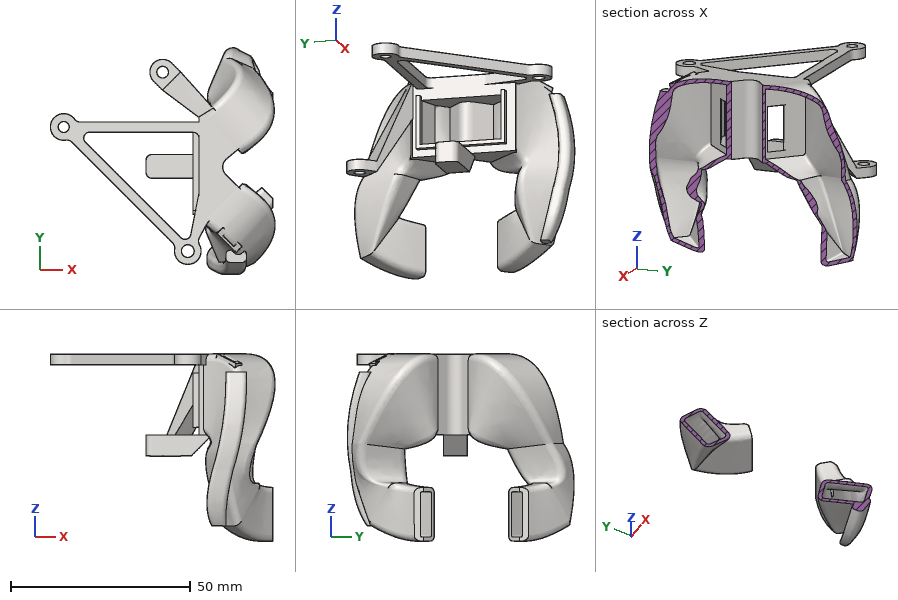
import cadquery as cq
import math


PLATE_T = 3.0
EAR_R = 3.75
EAR_BLEND_R = 2.0
REAR_EAR = (-37.75, 11.0)
REAR_HOLE_D = 3.0
SIDE_EAR = (-3.12, -23.65)
SIDE_HOLE_D = 3.5
BAR_Y_OUT = 12.4
BAR_Y_IN = 9.5
DIAG_SUM_OUT = -28.75
DIAG_SUM_IN = -24.9
WINDOW_KNEE_Y = -7.4
WINDOW_TIP_X = -2.9
WINDOW_CORNER_R = 1.6

BOX_H = 22.6
BOX_Y_MAX = 13.85
BOX_Y_MIN = -16.1
ARM_CORNER = (4.1, 16.3)
FAR_CORNER = (11.6, 5.3)
NEAR_CORNER = (11.6, -6.3)
NEAR_SHOULDER = (2.4, -15.7)
NOTCH_X = 5.2
NOTCH_R = 3.0

OUTLET_Y_MIN = -12.3
OUTLET_Y_MAX = 11.2
OUTLET_BOTTOM = -19.4
OUTLET_TOP = -6.3
OUTLET_FRAME_X = 0.5
CAVITY_NOTCH_X = 3.5
CAVITY_END_INSET = 1.0
CAVITY_MOUTH = 2.0
LIP_W = 1.1
LIP_OUT = 1.7
LIP_TOP = -5.3

DUCT_WALL = 1.2
NOZZLE_TRIM_X = 20.6
NOZZLE_H = 15.0

LOW_EAR = (-10.13, 26.3)
LOW_EAR_R = 3.6
LOW_EAR_TOP = -25.6
LOW_EAR_T = 3.0
LOW_HOLE_D = 3.2
LOW_TAB_L = 3.5
ARM_ROOT_START = (0.2, 13.5)
ARM_ROOT_END = (4.3, 15.9)
ARM_ROOT_H = 11.0

PEG_W = 6.7
PEG_H = 5.8
PEG_TIP_X = -14.8
PEG_FOOT_X = -2.1
PEG_CORNER_R = 1.7
PEG_OVERLAP = 1.0

CLIP_CENTRE = (8.2, -20.2, -2.7)
CLIP_SIZE = (8.0, 2.4, 3.0)
CLIP_SLOT = (4.5, 0.9)
CLIP_TILT = 20
CLIP_HEADING = -45

DIAG = math.sqrt(0.5)
OUT = (DIAG, DIAG, 0)
ACROSS = (DIAG, -DIAG, 0)
UP = (0, 0, 1)
DOWN = (0, 0, -1)
ALONG_X = (1, 0, 0)
LEAN = math.radians(24)
TWISTED_ACROSS = (math.cos(LEAN), -math.sin(LEAN), 0)
TWISTED_OUT = (math.sin(LEAN), math.cos(LEAN), 0)


def blend(first, second, share):
    """Direction lying the given share of the way from first to second."""
    return tuple(a + (b - a) * share for a, b in zip(first, second))


def at(out, across, z):
    """Point given by its distances along OUT and ACROSS."""
    return ((out + across) * DIAG, (out - across) * DIAG, z)


def duct_stations(root, elbow, bend, waist, turn, throat, nozzle):
    """Stations of a leg from the box to the nozzle, through the given centres."""
    return [
        (root, ACROSS, OUT, 15.5, BOX_H, 2.0),
        (elbow, ACROSS, blend(OUT, DOWN, 0.37), 15.3, 22.5, 2.0),
        (bend, TWISTED_ACROSS, blend(TWISTED_OUT, DOWN, 0.9), 10.0, 14.2, 2.0),
        (waist, TWISTED_ACROSS, DOWN, 8.3, 13.8, 2.0),
        (turn, blend(ACROSS, UP, 0.57), blend(DOWN, ACROSS, 0.57), 15.0, 7.8, 1.8),
        (throat, blend(ACROSS, UP, 0.85), blend(DOWN, ACROSS, 0.85), NOZZLE_H, 6.8, 1.7),
        (nozzle, UP, ACROSS, NOZZLE_H, 6.1, 1.6),
    ]


NEAR_LEG = duct_stations(
    root=at(12.0, -2.6, -11.3), elbow=at(20.2, -2.9, -15.1), bend=at(22.2, -8.9, -25.8),
    waist=(8.2, 21.0, -33.8), turn=(11.6, 18.5, -42.0),
    throat=at(19.9, 1.0, -44.1), nozzle=at(19.6, 8.26, -44.75))
FAR_LEG = duct_stations(
    root=at(11.0, -1.8, -11.3), elbow=at(19.5, -2.5, -15.1), bend=at(22.3, -9.3, -25.8),
    waist=(9.1, 25.7, -33.8), turn=(11.5, 26.6, -42.0),
    throat=at(26.1, -4.8, -44.1), nozzle=at(25.9, 1.87, -44.75))

CHANNEL = [
    ((10.4, 25.1, -5.0), ALONG_X, DOWN, 5.8, 3.4, 1.2),
    ((9.6, 28.2, -19.0), ALONG_X, DOWN, 5.8, 3.6, 1.2),
    ((6.6, 27.5, -32.5), ALONG_X, DOWN, 5.8, 3.6, 1.2),
    ((5.0, 25.9, -41.5), ALONG_X, DOWN, 5.6, 3.6, 1.2),
    ((5.6, 23.3, -48.0), ALONG_X, DOWN, 4.0, 2.6, 1.0),
]
NEAR_SIDE = -1
FAR_SIDE = 1


def section(station, side, inset):
    """Rounded rectangle at a station, shrunk by inset and mirrored in Y when side is -1."""
    centre, width_dir, path_dir, width, depth, radius = station

    def placed(vector):
        return cq.Vector(vector[0], vector[1] * side, vector[2])

    plane = cq.Plane(placed(centre), placed(width_dir), placed(path_dir))
    outline = cq.Sketch().rect(width - 2 * inset, depth - 2 * inset)
    return outline.vertices().fillet(radius - inset).moved(cq.Location(plane))


def sweep_through(stations, side, inset=0.0):
    """Body through the stations; every three neighbours make one smooth stretch."""
    sections = [section(station, side, inset) for station in stations]
    stretches = [
        cq.Workplane().placeSketch(*sections[first:first + 3]).loft()
        for first in range(0, len(sections) - 1, 2)
    ]
    swept = stretches[0]
    for stretch in stretches[1:]:
        swept = swept.union(stretch)
    return swept


def prism(points, top, height):
    """Upright prism hanging down from the given height."""
    return cq.Workplane(origin=(0, 0, top)).polyline(points).close().extrude(-height)


def cylinder(centre, radius, top, height):
    """Upright cylinder hanging down from the given height."""
    return cq.Workplane(origin=(*centre, top)).circle(radius).extrude(-height)


def block(x, y, z):
    """Box between pairs of limits."""
    solid = cq.Workplane().box(x[1] - x[0], y[1] - y[0], z[1] - z[0], centered=False)
    return solid.translate((x[0], y[0], z[0]))


def mounting_plate():
    """Triangular frame with an ear at two corners; it merges into the box at the third."""
    ear_x, ear_y = SIDE_EAR
    rear_x, rear_y = REAR_EAR
    inside_ear = EAR_R * DIAG
    plate = prism([
        REAR_EAR,
        (rear_x, BAR_Y_OUT),
        (NEAR_SHOULDER[0], BAR_Y_OUT),
        NEAR_SHOULDER,
        (ear_x + inside_ear, ear_y + inside_ear),
        SIDE_EAR,
        (DIAG_SUM_OUT - ear_y, ear_y),
        (DIAG_SUM_OUT - rear_y, rear_y),
    ], 0, PLATE_T)
    for ear in (REAR_EAR, SIDE_EAR):
        plate = plate.union(cylinder(ear, EAR_R, 0, PLATE_T))
    for x, y in (REAR_EAR, SIDE_EAR):
        reach = EAR_R + 0.1
        around_ear = cq.selectors.BoxSelector((x - reach, y - reach, -PLATE_T), (x + reach, y + reach, 0))
        plate = plate.edges("|Z").edges(around_ear).fillet(EAR_BLEND_R)
    window = prism([
        (DIAG_SUM_IN - BAR_Y_IN, BAR_Y_IN),
        (0, BAR_Y_IN),
        (0, WINDOW_KNEE_Y),
        (WINDOW_TIP_X, DIAG_SUM_IN - WINDOW_TIP_X),
    ], 0, PLATE_T)
    return plate.cut(window.edges("|Z").fillet(WINDOW_CORNER_R))


def blower_box():
    """Box behind the blower face, with the notch between the legs at its back."""
    box = prism([
        (0, BOX_Y_MAX), ARM_CORNER, FAR_CORNER, (NOTCH_X, 0), NEAR_CORNER, NEAR_SHOULDER, (0, BOX_Y_MIN),
    ], 0, BOX_H)
    notch_edge = cq.selectors.NearestToPointSelector((NOTCH_X, 0, -BOX_H / 2))
    return box.edges(notch_edge).fillet(NOTCH_R)


def outlet_lip():
    """U-shaped lip around the sides and bottom of the outlet."""
    outer = block((-LIP_OUT, 0), (OUTLET_Y_MIN - LIP_W, OUTLET_Y_MAX + LIP_W), (OUTLET_BOTTOM - LIP_W, LIP_TOP))
    return outer.cut(block((-LIP_OUT, 0), (OUTLET_Y_MIN, OUTLET_Y_MAX), (OUTLET_BOTTOM, LIP_TOP)))


def outlet_cavity():
    """Hollow of the box, splitting around the notch into the two legs."""
    near_x, near_y = NEAR_CORNER[0] - CAVITY_END_INSET, NEAR_CORNER[1] - CAVITY_END_INSET
    far_x, far_y = FAR_CORNER[0] - CAVITY_END_INSET, FAR_CORNER[1] + CAVITY_END_INSET
    cavity = prism([
        (0, OUTLET_Y_MIN),
        (OUTLET_FRAME_X, OUTLET_Y_MIN),
        (near_x - CAVITY_MOUTH, near_y - CAVITY_MOUTH),
        (near_x, near_y),
        (CAVITY_NOTCH_X, 0),
        (far_x, far_y),
        (far_x - CAVITY_MOUTH, far_y + CAVITY_MOUTH),
        (OUTLET_FRAME_X, OUTLET_Y_MAX),
        (0, OUTLET_Y_MAX),
    ], OUTLET_TOP, OUTLET_TOP - OUTLET_BOTTOM)
    divider = cq.selectors.NearestToPointSelector((CAVITY_NOTCH_X, 0, (OUTLET_TOP + OUTLET_BOTTOM) / 2))
    return cavity.edges(divider).fillet(NOTCH_R)


def centre_peg():
    """Peg under the box, reaching forward of the blower face."""
    top = -BOX_H
    bottom = top - PEG_H
    root_x = PEG_FOOT_X + PEG_H
    side = cq.Workplane("XZ").polyline([
        (PEG_TIP_X, top), (PEG_TIP_X, bottom), (PEG_FOOT_X, bottom), (root_x, top),
        (root_x, top + PEG_OVERLAP), (0, top + PEG_OVERLAP), (0, top),
    ]).close()
    return side.extrude(PEG_W / 2, both=True).edges("|Z and <X").fillet(PEG_CORNER_R)


def upright_face(start, end, top, height):
    """Wire of an upright rectangle over a line in plan."""
    bottom = top - height
    corners = [(*start, top), (*end, top), (*end, bottom), (*start, bottom)]
    return cq.Wire.makePolygon([cq.Vector(*corner) for corner in corners], close=True)


def low_arm():
    """Strut sloping down from the box corner to a flat ear."""
    x, y = LOW_EAR
    step = LOW_TAB_L * DIAG
    half = LOW_EAR_R * DIAG
    tab_start = (x + step - half, y - step - half)
    tab_end = (x + step + half, y - step + half)
    ear = cylinder(LOW_EAR, LOW_EAR_R, LOW_EAR_TOP, LOW_EAR_T)
    tab = prism([(x - half, y - half), tab_start, tab_end, (x + half, y + half)], LOW_EAR_TOP, LOW_EAR_T)
    root = upright_face(ARM_ROOT_START, ARM_ROOT_END, 0, ARM_ROOT_H)
    foot = upright_face(tab_start, tab_end, LOW_EAR_TOP, LOW_EAR_T)
    strut = cq.Workplane(obj=cq.Solid.makeLoft([root, foot], True))
    return ear.union(tab).union(strut)


def wire_clip():
    """Small slotted bar on the top edge of the near leg."""
    clip = cq.Workplane().box(*CLIP_SIZE).faces(">Z").workplane().rect(*CLIP_SLOT).cutThruAll()
    clip = clip.rotate((0, 0, 0), (0, 1, 0), CLIP_TILT).rotate((0, 0, 0), (0, 0, 1), CLIP_HEADING)
    return clip.translate(CLIP_CENTRE)


def nozzle_trim():
    """Everything beyond the flat at the nozzle tips."""
    size = 2 * NOZZLE_H
    return block((NOZZLE_TRIM_X, NOZZLE_TRIM_X + size), (-2 * size, 2 * size), (-2 * size, -size))


body = mounting_plate().union(blower_box()).union(outlet_lip()).union(centre_peg()).union(low_arm())
body = body.union(sweep_through(NEAR_LEG, NEAR_SIDE)).union(sweep_through(FAR_LEG, FAR_SIDE))
body = body.union(sweep_through(CHANNEL, NEAR_SIDE)).union(wire_clip())

body = body.cut(outlet_cavity())
for leg, leg_side in ((NEAR_LEG, NEAR_SIDE), (FAR_LEG, FAR_SIDE)):
    body = body.cut(sweep_through(leg, leg_side, DUCT_WALL))
body = body.cut(nozzle_trim())

body = body.cut(cylinder(REAR_EAR, REAR_HOLE_D / 2, 0, PLATE_T))
body = body.cut(cylinder(SIDE_EAR, SIDE_HOLE_D / 2, 0, PLATE_T))
body = body.cut(cylinder(LOW_EAR, LOW_HOLE_D / 2, LOW_EAR_TOP, LOW_EAR_T))

result = body